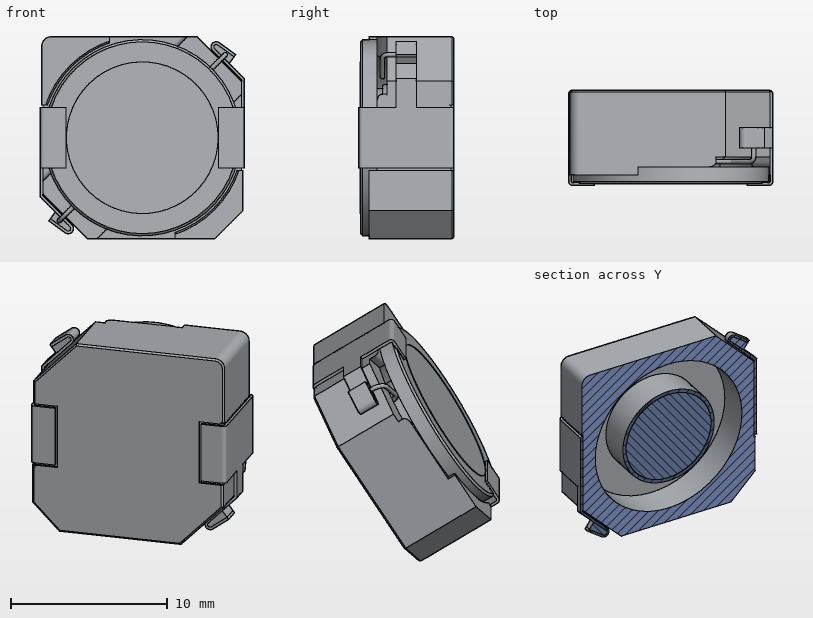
import cadquery as cq
import math


HEIGHT = 6.1
BACK = HEIGHT / 2
LABEL_FRONT = -2.96
FLANGE_FRONT = -2.92
CORNER_FRONT = -2.36
HOUSING_FRONT = -1.85
LEAD_LEVEL = -1.53
COIL_FRONT = -1.51
NOTCH_FLOOR = -1.23
BORE_FLOOR = 2.4

HALF_X = 6.42
HALF_Z = 6.46
SETBACK_X = 6.34
CORNER_SUM = 9.96
PLAIN_CHAMFER = 1.8
CORNER_RADIUS = 0.63
BACK_CHAMFER = 0.12
RAISED_FROM = 2.09
BORE_RADIUS = 5.4
FLANGE_SEAT_RADIUS = 6.41
SEAT_CHAMFER = 0.1
SEAT_CHAMFER_ANGLE = 45
NOTCH_HALF_WIDTH = 2.52
NOTCH_RIM_RADIUS = 0.31
RECESS_CLEARANCE = 0.16

FLANGE_RADIUS = 6.26
FLANGE_CHAMFER = 0.15
POST_RADIUS = 3.16
COIL_RADIUS = 3.39
COIL_ROUNDING = 0.13
LABEL_RADIUS = 4.84

HALF_LENGTH = 6.52
SHEET = HALF_LENGTH - SETBACK_X
ARM_TIP_X = 4.88
PLATE_HALF_WIDTH = 1.93
BEND_RADIUS = 0.27
TAB_HALF_WIDTH = 0.65
STRIP_OFFSET = 7.1
HOOK_RADIUS = 0.34
HOOK_OFFSET = 0.76
HOOK_LEG = 1.29
HOOK_SPLAY = math.radians(9)

WIRE_RADIUS = 0.15
LEAD_END = 7.49
TANGENT_START = 5.57
TANGENT_BEND = 0.17
TANGENT_LENGTH = 1.57
TANGENT_OUTER_BEND = 0.37
AXIAL_START = 5.27
AXIAL_BEND = 0.47
AXIAL_OUTER_BEND = 0.76

HALF_TURN = 180
ROOT_HALF = math.sqrt(0.5)
CORNER_PLANE = cq.Plane(origin=(0, 0, 0), xDir=(-1, 0, 1), normal=(0, 1, 0))
NOTCH_PLANE = cq.Plane(origin=(0, 0, 0), xDir=(-1, 0, 1), normal=(-1, 0, -1))
LEAD_PLANE = cq.Plane(origin=(0, 0, 0), xDir=(1, 0, 1), normal=(-1, 0, 1))
OUTWARD = (1, 0, 1)
INWARD = (-1, 0, -1)


def turn(body, angle):
    """Body turned about the coil axis."""
    return body.rotate((0, 0, 0), (0, 1, 0), angle)


def at_level(y):
    """XZ workplane at depth y; extrusion runs toward -Y."""
    return cq.Workplane("XZ", origin=(0, y, 0))


def disc(radius, y_back, y_front):
    return at_level(y_back).circle(radius).extrude(y_back - y_front)


def housing_block():
    outline = [
        (-SETBACK_X, RAISED_FROM),
        (-HALF_X, RAISED_FROM),
        (-HALF_X, HALF_Z),
        (CORNER_SUM - HALF_Z, HALF_Z),
        (SETBACK_X, CORNER_SUM - SETBACK_X),
        (SETBACK_X, -RAISED_FROM),
        (HALF_X, -RAISED_FROM),
        (HALF_X, PLAIN_CHAMFER - HALF_Z),
        (HALF_X - PLAIN_CHAMFER, -HALF_Z),
        (HALF_Z - CORNER_SUM, -HALF_Z),
        (-SETBACK_X, SETBACK_X - CORNER_SUM),
    ]
    block = at_level(BACK).polyline(outline).close().extrude(BACK - CORNER_FRONT)
    rounded_corner = cq.selectors.NearestToPointSelector((-HALF_X, 0, HALF_Z))
    block = block.edges("|Y").edges(rounded_corner).fillet(CORNER_RADIUS)
    return block.faces(">Y").edges().chamfer(BACK_CHAMFER)


def front_step():
    """Space in front of the lower face, leaving two opposite corners raised."""
    depth = HOUSING_FRONT - CORNER_FRONT
    step = at_level(HOUSING_FRONT).rect(2 * HALF_LENGTH, 2 * HALF_LENGTH).extrude(depth)
    for side in (-1, 1):
        centre = side * (RAISED_FROM + HALF_LENGTH)
        corner = at_level(HOUSING_FRONT).center(centre, -centre)
        step = step.cut(corner.rect(2 * HALF_LENGTH, 2 * HALF_LENGTH).extrude(depth))
    seat = disc(FLANGE_SEAT_RADIUS, HOUSING_FRONT, CORNER_FRONT)
    flare = at_level(CORNER_FRONT + SEAT_CHAMFER).circle(FLANGE_SEAT_RADIUS)
    flare = flare.extrude(SEAT_CHAMFER, taper=-SEAT_CHAMFER_ANGLE)
    return step.union(seat).union(flare)


def lead_notch():
    """Channel along the hook diagonal with rounded rims, open to the lower front face."""
    rim_half_width = NOTCH_HALF_WIDTH + NOTCH_RIM_RADIUS
    wall_end = HOUSING_FRONT + NOTCH_RIM_RADIUS
    arc_step = NOTCH_RIM_RADIUS * (1 - ROOT_HALF)
    arc_middle = (NOTCH_HALF_WIDTH + arc_step, HOUSING_FRONT + arc_step)
    return (
        cq.Workplane(NOTCH_PLANE)
        .moveTo(-NOTCH_HALF_WIDTH, NOTCH_FLOOR)
        .lineTo(NOTCH_HALF_WIDTH, NOTCH_FLOOR)
        .lineTo(NOTCH_HALF_WIDTH, wall_end)
        .threePointArc(arc_middle, (rim_half_width, HOUSING_FRONT))
        .lineTo(-rim_half_width, HOUSING_FRONT)
        .threePointArc((-arc_middle[0], arc_middle[1]), (-NOTCH_HALF_WIDTH, wall_end))
        .close()
        .extrude(2 * HALF_LENGTH, both=True)
    )


def terminal_recesses():
    """Shallow recesses that let the terminals wrap round the sides and the back."""
    width = 2 * RAISED_FROM
    reach = HALF_LENGTH - ARM_TIP_X + RECESS_CLEARANCE
    recess = cq.Workplane("XY").box(reach, SHEET, width)
    recess = recess.translate((HALF_LENGTH - reach / 2, BACK - SHEET / 2, 0))
    side = cq.Workplane("XY").box(SHEET, 2 * BACK, width)
    side = side.translate((HALF_LENGTH - SHEET / 2, 0, 0))
    recess = recess.union(side)
    inner_corner = cq.selectors.NearestToPointSelector((SETBACK_X, BACK - SHEET, 0))
    recess = recess.edges("|Z").edges(inner_corner).fillet(BEND_RADIUS - SHEET)
    return recess.union(turn(recess, HALF_TURN))


def make_housing():
    bore = disc(BORE_RADIUS, BORE_FLOOR, HOUSING_FRONT)
    return housing_block().cut(front_step()).cut(bore).cut(lead_notch()).cut(terminal_recesses())


def make_drum(terminals):
    flange = disc(FLANGE_RADIUS, HOUSING_FRONT, FLANGE_FRONT)
    flange = flange.faces("<Y").edges().chamfer(FLANGE_CHAMFER)
    drum = flange.union(disc(POST_RADIUS, BORE_FLOOR, HOUSING_FRONT))
    for terminal in terminals:
        drum = drum.cut(terminal)
    return drum


def make_coil():
    winding = disc(COIL_RADIUS, BORE_FLOOR, COIL_FRONT)
    winding = winding.faces("<Y").edges().fillet(COIL_ROUNDING)
    return winding.cut(disc(POST_RADIUS, BORE_FLOOR, COIL_FRONT))


def make_label():
    return disc(LABEL_RADIUS, FLANGE_FRONT, LABEL_FRONT)


STRIP_OUTER = STRIP_OFFSET + SHEET
HOOK_CENTRE = (HOOK_OFFSET, STRIP_OFFSET + HOOK_RADIUS)
LEG_NORMAL = (math.sin(HOOK_SPLAY), math.cos(HOOK_SPLAY))
LEG_ALONG = (-math.cos(HOOK_SPLAY), math.sin(HOOK_SPLAY))
BEND_MIDDLE = (math.cos(HOOK_SPLAY / 2), -math.sin(HOOK_SPLAY / 2))


def hook_point(radius, direction, along=0):
    """Point at a radius from the bend centre, then moved along the outer leg."""
    return tuple(
        centre + radius * outward + along * step
        for centre, outward, step in zip(HOOK_CENTRE, direction, LEG_ALONG)
    )


def across_corner():
    """Workplane at the front face of the tab; extrusion runs toward +Y."""
    return cq.Workplane(CORNER_PLANE).workplane(offset=-TAB_HALF_WIDTH)


def clip_plate():
    """C-shaped plate: front arm, side and back arm with rounded outer bends."""
    length = HALF_LENGTH - ARM_TIP_X
    plate = cq.Workplane("XY").box(length, 2 * BACK, 2 * PLATE_HALF_WIDTH)
    plate = plate.translate((HALF_LENGTH - length / 2, 0, 0))
    plate = plate.edges(">X and |Z").fillet(BEND_RADIUS)
    core = cq.Workplane("XY").box(length, 2 * (BACK - SHEET), 2 * PLATE_HALF_WIDTH)
    core = core.translate((SETBACK_X - length / 2, 0, 0))
    core = core.edges(">X and |Z").fillet(BEND_RADIUS - SHEET)
    return plate.cut(core)


def strip_end(offset):
    """X and Z of the end of a strip face that lies at an offset from the Y axis."""
    return ((offset - HOOK_OFFSET) * ROOT_HALF, (offset + HOOK_OFFSET) * ROOT_HALF)


def clip_tab():
    """Strip that leaves the plate upward and turns along the corner chamfer."""
    inner_sum = STRIP_OFFSET / ROOT_HALF
    outer_sum = STRIP_OUTER / ROOT_HALF
    outline = [
        (SETBACK_X, 0),
        (HALF_LENGTH, 0),
        (HALF_LENGTH, outer_sum - HALF_LENGTH),
        strip_end(STRIP_OUTER),
        strip_end(STRIP_OFFSET),
        (SETBACK_X, inner_sum - SETBACK_X),
    ]
    return cq.Workplane("XZ").polyline(outline).close().extrude(TAB_HALF_WIDTH, both=True)


def clip_hook():
    """Bend that folds the strip back over itself, with a slightly splayed outer leg."""
    inner_radius = HOOK_RADIUS - SHEET
    return (
        across_corner()
        .moveTo(HOOK_OFFSET, STRIP_OFFSET)
        .threePointArc(hook_point(HOOK_RADIUS, BEND_MIDDLE), hook_point(HOOK_RADIUS, LEG_NORMAL))
        .lineTo(*hook_point(HOOK_RADIUS, LEG_NORMAL, HOOK_LEG))
        .lineTo(*hook_point(inner_radius, LEG_NORMAL, HOOK_LEG))
        .lineTo(*hook_point(inner_radius, LEG_NORMAL))
        .threePointArc(hook_point(inner_radius, BEND_MIDDLE), (HOOK_OFFSET, STRIP_OUTER))
        .close()
        .extrude(2 * TAB_HALF_WIDTH)
    )


def make_terminal():
    return clip_plate().union(clip_tab()).union(clip_hook())


def make_solder():
    """Filling between the two legs of the hook, cut off square to the outer leg."""
    inner_radius = HOOK_RADIUS - SHEET
    leg_tip = hook_point(inner_radius, LEG_NORMAL, HOOK_LEG)
    drop = leg_tip[1] - STRIP_OUTER
    return (
        across_corner()
        .moveTo(HOOK_OFFSET, STRIP_OUTER)
        .threePointArc(hook_point(inner_radius, BEND_MIDDLE), hook_point(inner_radius, LEG_NORMAL))
        .lineTo(*leg_tip)
        .lineTo(leg_tip[0] - drop * math.tan(HOOK_SPLAY), STRIP_OUTER)
        .close()
        .extrude(2 * TAB_HALF_WIDTH)
    )


def quarter_bend(path, start, corner, end):
    """Tangent quarter arc from start to end whose tangents meet at corner."""
    middle = tuple(
        c + (1 - ROOT_HALF) * (s - c + e - c) for s, c, e in zip(start, corner, end)
    )
    return path.threePointArc(middle, end)


def wire_along(path, start, direction):
    """Round wire swept along a path that leaves the corner diagonal's point at start."""
    section_plane = cq.Plane(
        origin=(start * ROOT_HALF, LEAD_LEVEL, start * ROOT_HALF),
        xDir=(0, 1, 0),
        normal=direction,
    )
    return cq.Workplane(section_plane).circle(WIRE_RADIUS).sweep(path)


def radial_lead(start, bend):
    """Straight run outward from start, then a bend back into the solder joint."""
    path = cq.Workplane(LEAD_PLANE).moveTo(start, LEAD_LEVEL).lineTo(LEAD_END - bend, LEAD_LEVEL)
    path = quarter_bend(
        path,
        (LEAD_END - bend, LEAD_LEVEL),
        (LEAD_END, LEAD_LEVEL),
        (LEAD_END, LEAD_LEVEL + bend),
    )
    path = path.lineTo(LEAD_END, -TAB_HALF_WIDTH)
    return wire_along(path, start, OUTWARD)


def make_tangent_lead():
    """Lead that leaves the winding sideways, square to the corner diagonal."""
    tangent_level = TANGENT_START - TANGENT_BEND
    path = cq.Workplane(CORNER_PLANE).workplane(offset=LEAD_LEVEL).moveTo(0, TANGENT_START)
    path = quarter_bend(path, (0, TANGENT_START), (0, tangent_level), (TANGENT_BEND, tangent_level))
    path = path.lineTo(TANGENT_BEND + TANGENT_LENGTH, tangent_level)
    return radial_lead(TANGENT_START, TANGENT_OUTER_BEND).union(wire_along(path, TANGENT_START, INWARD))


def make_axial_lead():
    """Lead whose inner end turns back along the coil axis."""
    inner_end = AXIAL_START - AXIAL_BEND
    path = cq.Workplane(LEAD_PLANE).moveTo(AXIAL_START, LEAD_LEVEL)
    path = quarter_bend(
        path,
        (AXIAL_START, LEAD_LEVEL),
        (inner_end, LEAD_LEVEL),
        (inner_end, LEAD_LEVEL + AXIAL_BEND),
    )
    return radial_lead(AXIAL_START, AXIAL_OUTER_BEND).union(wire_along(path, AXIAL_START, INWARD))


terminals = []
solder_joints = []
for angle in (0, HALF_TURN):
    terminals.append(turn(make_terminal(), angle))
    solder_joints.append(turn(make_solder(), angle))

housing = make_housing()
drum = make_drum(terminals)
coil = make_coil()
label = make_label()
tangent_lead = make_tangent_lead()
axial_lead = turn(make_axial_lead(), HALF_TURN)

result = cq.Compound.makeCompound([
    housing.val(),
    drum.val(),
    coil.val(),
    label.val(),
    *[terminal.val() for terminal in terminals],
    *[solder.val() for solder in solder_joints],
    tangent_lead.val(),
    axial_lead.val(),
])